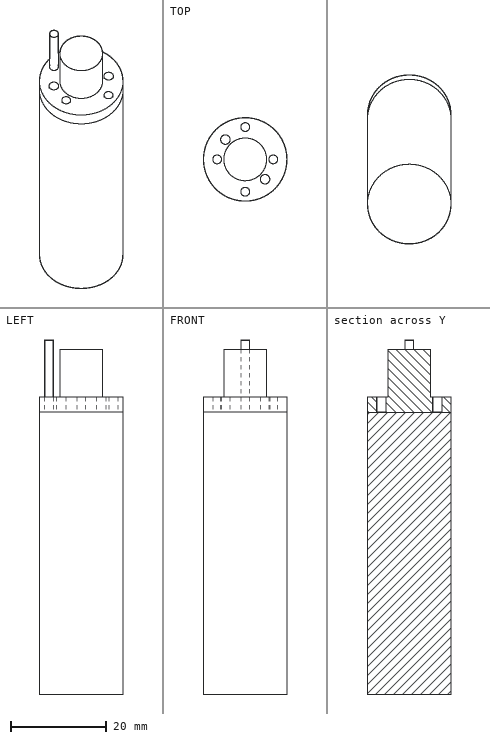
import cadquery as cq
import math

body_diameter = 17.6
body_length = 59.4

cap_thickness = 3.2
cap_top = body_length + cap_thickness
boss_diameter = 9.0
boss_height = 10.0

pin_diameter = 1.85
pin_offset = 6.8
pin_protrusion = 11.95
pin_length = cap_thickness + pin_protrusion

small_hole_diameter = 1.85
hole_circle_radius = 5.9
small_hole_angles = (0, 180)

diagonal_hole_diameter = 2.0
diagonal_hole_angles = (135, 315)


def points_on_circle(radius, angles):
    """Points at the given angles, in degrees from +X, on a circle about Z."""
    return [
        (radius * math.cos(math.radians(angle)), radius * math.sin(math.radians(angle)))
        for angle in angles
    ]


def make_body():
    return cq.Workplane("XY").circle(body_diameter / 2).extrude(body_length)


def cap_holes(diameter, points):
    """Cutters that pass through the thickness of the cap."""
    return (
        cq.Workplane("XY", origin=(0, 0, body_length))
        .pushPoints(points)
        .circle(diameter / 2)
        .extrude(cap_thickness)
    )


def make_cap():
    disc = (
        cq.Workplane("XY", origin=(0, 0, body_length))
        .circle(body_diameter / 2)
        .extrude(cap_thickness)
    )
    boss = (
        cq.Workplane("XY", origin=(0, 0, cap_top))
        .circle(boss_diameter / 2)
        .extrude(boss_height)
    )
    pin_holes = cap_holes(pin_diameter, [(0, pin_offset), (0, -pin_offset)])
    small_holes = cap_holes(small_hole_diameter, points_on_circle(hole_circle_radius, small_hole_angles))
    diagonal_holes = cap_holes(
        diagonal_hole_diameter, points_on_circle(hole_circle_radius, diagonal_hole_angles)
    )
    return disc.union(boss).cut(pin_holes).cut(small_holes).cut(diagonal_holes)


def make_pin():
    """Pin that rests on the end of the body and passes through the cap."""
    return (
        cq.Workplane("XY", origin=(0, pin_offset, body_length))
        .circle(pin_diameter / 2)
        .extrude(pin_length)
    )


body = make_body()
cap = make_cap()
pin = make_pin()

result = cq.Compound.makeCompound([body.val(), cap.val(), pin.val()])